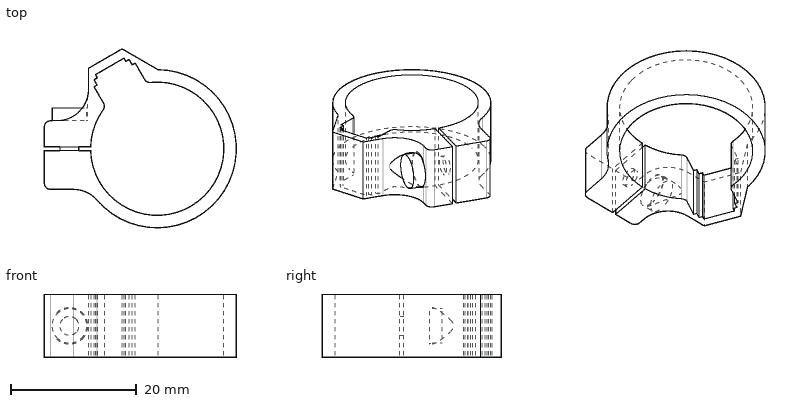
import cadquery as cq
import math

width = 10.0
outer_radius = 12.6
inner_radius = 10.6

overall_length = 30.6
lug_end_x = outer_radius - overall_length
upper_lug_y = 4.47
lower_lug_y = -6.5
slit_width = 0.6
lug_corner_radius = 1.0
blend_radius = 5.0

apex_x = -5.6
apex_y = 15.9
housing_wall_x = -10.95
roof_angle = 30.0
roof_end_x = 0.92

slot_steps = [(3.75, 13.55), (3.2, 14.55), (2.6, 15.12)]
slot_mouth_radius = 1.0

screw_x = -13.98
shank_diameter = 3.0
head_diameter = 5.5
head_height = 2.02
head_clearance_diameter = 5.8
shank_end_y = -4.47


def y_cylinder(diameter, start_y, end_y):
    """Cylinder on the screw axis between two Y positions."""
    plane = cq.Plane(origin=(screw_x, start_y, width / 2), xDir=(1, 0, 0), normal=(0, 1, 0))
    return cq.Workplane(plane).circle(diameter / 2).extrude(end_y - start_y)


def make_housing():
    """Upper lug and peaked housing, with a concave blend between them."""
    roof_slope = math.tan(math.radians(roof_angle))
    shoulder_y = apex_y - (apex_x - housing_wall_x) * roof_slope
    roof_end_y = apex_y - (roof_end_x - apex_x) * roof_slope
    blend_x = housing_wall_x - blend_radius
    blend_y = upper_lug_y + blend_radius
    blend_offset = blend_radius * math.sqrt(0.5)
    return (
        cq.Workplane("XY")
        .moveTo(0, 0)
        .lineTo(lug_end_x, 0)
        .lineTo(lug_end_x, upper_lug_y - lug_corner_radius)
        .radiusArc((lug_end_x + lug_corner_radius, upper_lug_y), lug_corner_radius)
        .lineTo(blend_x, upper_lug_y)
        .threePointArc((blend_x + blend_offset, blend_y - blend_offset), (housing_wall_x, blend_y))
        .lineTo(housing_wall_x, shoulder_y)
        .lineTo(apex_x, apex_y)
        .lineTo(roof_end_x, roof_end_y)
        .close()
        .extrude(width)
    )


def make_lower_lug():
    """Lower lug, blended tangentially into the outside of the ring."""
    blend_y = lower_lug_y - blend_radius
    centre_distance = outer_radius + blend_radius
    blend_x = -math.sqrt(centre_distance**2 - blend_y**2)
    tangent_scale = outer_radius / centre_distance
    return (
        cq.Workplane("XY")
        .moveTo(0, 0)
        .lineTo(lug_end_x, 0)
        .lineTo(lug_end_x, lower_lug_y + lug_corner_radius)
        .radiusArc((lug_end_x + lug_corner_radius, lower_lug_y), -lug_corner_radius)
        .lineTo(blend_x, lower_lug_y)
        .radiusArc((blend_x * tangent_scale, blend_y * tangent_scale), blend_radius)
        .close()
        .extrude(width)
    )


def make_opening():
    """Ring bore joined to the stepped slot, with rounded edges at the slot mouth."""
    opening = cq.Workplane("XY").circle(inner_radius).extrude(width)
    for half_width, step_distance in slot_steps:
        step = cq.Workplane("XY").rect(2 * half_width, step_distance, centered=(True, False)).extrude(width)
        opening = opening.union(step.rotate((0, 0, 0), (0, 0, 1), roof_angle))
    mouth_half_width = slot_steps[0][0]
    mouth_distance = math.sqrt(inner_radius**2 - mouth_half_width**2)
    angle = math.radians(roof_angle)
    for side in (-mouth_half_width, mouth_half_width):
        mouth_x = side * math.cos(angle) - mouth_distance * math.sin(angle)
        mouth_y = side * math.sin(angle) + mouth_distance * math.cos(angle)
        mouth_edge = cq.selectors.NearestToPointSelector((mouth_x, mouth_y, width / 2))
        opening = opening.edges("|Z").edges(mouth_edge).fillet(slot_mouth_radius)
    return opening


def make_slit():
    """Gap between the lugs, running from their ends into the bore."""
    slit = cq.Workplane("XY").box(-lug_end_x, slit_width, width, centered=(False, True, False))
    return slit.translate((lug_end_x, 0, 0))


def make_screw():
    """Shank across the slit, with its head seated on the upper lug."""
    shank = y_cylinder(shank_diameter, shank_end_y, upper_lug_y)
    head = y_cylinder(head_diameter, upper_lug_y, upper_lug_y + head_height)
    return shank.union(head)


ring = cq.Workplane("XY").circle(outer_radius).extrude(width)
body = ring.union(make_housing()).union(make_lower_lug())
body = body.cut(make_opening()).cut(make_slit())
body = body.cut(y_cylinder(head_clearance_diameter, upper_lug_y, upper_lug_y + blend_radius))
result = body.union(make_screw())